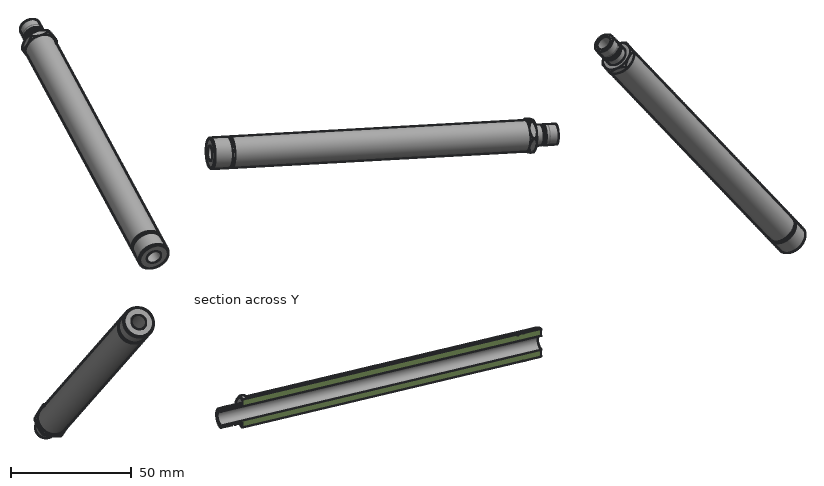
import cadquery as cq
import math

total_length = 150.0
body_diameter = 13.2
bore_diameter = 6.3

spigot_length = 10.0
spigot_diameter = 8.8
tip_diameter = 8.7
taper_length = 3.8
groove_start = 5.2
groove_end = 6.6
groove_depth = 0.5

hex_thickness = 3.0
hex_across_flats = body_diameter
hex_corner_diameter = 15.0

ring_groove_start = 141.0
ring_groove_width = 1.0
ring_groove_depth = 0.2
end_chamfer = 0.5


def rod(start, end, diameter):
    """Round bar along X."""
    return cq.Workplane("YZ", origin=(start, 0, 0)).circle(diameter / 2).extrude(end - start)


def make_spigot():
    """Spigot with a slightly tapered tip and a ring groove that has a 45 degree far wall."""
    radius = spigot_diameter / 2
    floor_radius = radius - groove_depth
    floor_end = groove_end - groove_depth
    half_profile = (
        cq.Workplane("XY")
        .polyline(
            [
                (0, 0),
                (0, tip_diameter / 2),
                (taper_length, radius),
                (groove_start, radius),
                (groove_start, floor_radius),
                (floor_end, floor_radius),
                (groove_end, radius),
                (spigot_length, radius),
                (spigot_length, 0),
            ]
        )
        .close()
    )
    return half_profile.revolve(360, (0, 0, 0), (1, 0, 0))


def make_hex_collar():
    """Hexagon with two flats facing +Z and -Z, its corners rounded off and both faces chamfered."""
    hexagon = (
        cq.Workplane("YZ", origin=(spigot_length, 0, 0))
        .polygon(6, hex_across_flats / math.cos(math.pi / 6))
        .extrude(hex_thickness)
    )
    corner_chamfer = (hex_corner_diameter - hex_across_flats) / 2
    envelope = rod(spigot_length, spigot_length + hex_thickness, hex_corner_diameter)
    return hexagon.intersect(envelope.edges().chamfer(corner_chamfer))


def make_body():
    """Long round body with a shallow ring groove and a chamfered end."""
    body = rod(spigot_length + hex_thickness, total_length, body_diameter).faces(">X").chamfer(end_chamfer)
    ring_groove_end = ring_groove_start + ring_groove_width
    groove_floor_diameter = body_diameter - 2 * ring_groove_depth
    groove = rod(ring_groove_start, ring_groove_end, body_diameter).cut(
        rod(ring_groove_start, ring_groove_end, groove_floor_diameter)
    )
    return body.cut(groove)


bore = rod(0, total_length, bore_diameter)
result = make_spigot().union(make_hex_collar()).union(make_body()).cut(bore)